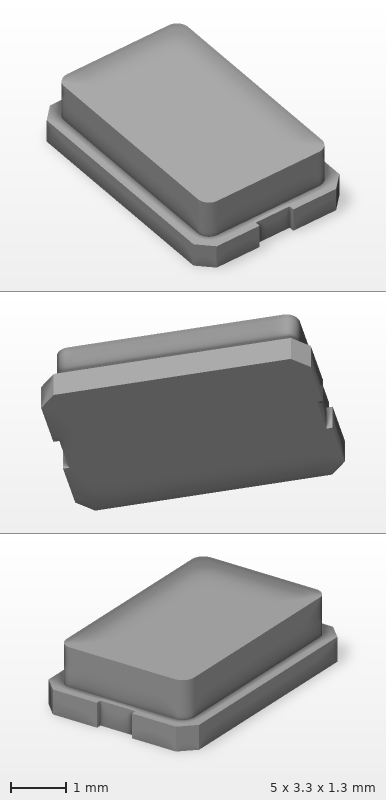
import cadquery as cq

base_length = 5.0
base_width = 3.3
base_height = 0.5
corner_chamfer = 0.3

total_height = 1.3
cap_inset = 0.25
cap_radius = 0.25

notch_width = 0.765
notch_depth = 0.11

lining_thickness = 0.01
pad_thickness = 0.015
pad_width = 2.03
pad_length = 1.25
lining_height = 0.31


def end_block(length, width, height):
    """Box standing on Z = 0 that reaches inward from the -X end of the base."""
    return (
        cq.Workplane("XY")
        .box(length, width, height, centered=(False, True, False))
        .translate((-base_length / 2, 0, 0))
    )


def make_terminal():
    """Terminal at the -X end: bottom pad joined to a U-shaped notch lining."""
    pad = end_block(pad_length, pad_width, pad_thickness)
    lining = end_block(notch_depth + lining_thickness, notch_width + 2 * lining_thickness, lining_height)
    notch = end_block(notch_depth, notch_width, base_height)
    return pad.union(lining).cut(notch)


def at_both_ends(shape):
    """The shape at the -X end and its half-turn copy at the +X end."""
    return [shape.rotate((0, 0, 0), (0, 0, 1), angle) for angle in (0, 180)]


def make_housing(terminals):
    """Chamfered base with its rounded cap, end notches and terminal recesses."""
    base = (
        cq.Workplane("XY")
        .box(base_length, base_width, base_height, centered=(True, True, False))
        .edges("|Z")
        .chamfer(corner_chamfer)
    )
    cap = (
        cq.Workplane("XY")
        .workplane(offset=base_height)
        .rect(base_length - 2 * cap_inset, base_width - 2 * cap_inset)
        .extrude(total_height - base_height)
        .edges("|Z")
        .fillet(cap_radius)
    )
    housing = base.union(cap)
    for notch in at_both_ends(end_block(notch_depth, notch_width, base_height)):
        housing = housing.cut(notch)
    for terminal in terminals:
        housing = housing.cut(terminal)
    return housing


terminals = at_both_ends(make_terminal())
housing = make_housing(terminals)

result = cq.Compound.makeCompound([housing.val(), *[terminal.val() for terminal in terminals]])